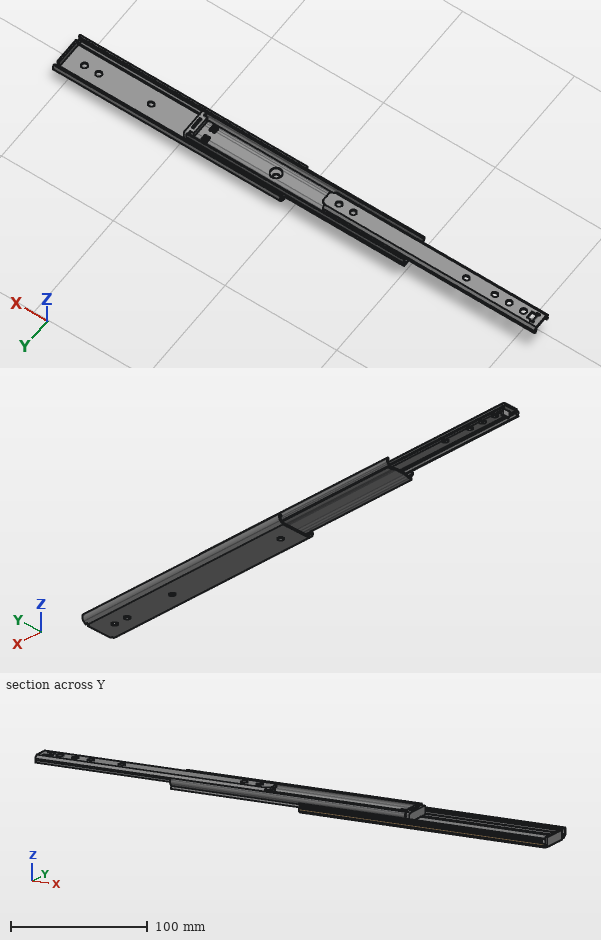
import cadquery as cq
import math


total_length = 424.7
inner_end = 192.5
middle_start = 114.0
middle_end = 308.2
outer_start = 221.5

outer_half_width = 17.65
total_height = 13.0

outer_sheet = 1.6
middle_sheet = 1.4
inner_sheet = 1.8
retainer_sheet = 0.4

hole_pitch = 12.8
hole_diameter = 5.2
slot_length = 5.2
slot_width = 4.4
first_inner_hole = 15.9
last_inner_hole = inner_end - 11.5
inner_slots = [first_inner_hole + 2 * hole_pitch, first_inner_hole + 4 * hole_pitch]
inner_round_holes = [
    first_inner_hole,
    first_inner_hole + hole_pitch,
    last_inner_hole - hole_pitch,
    last_inner_hole,
]
access_hole_x = 237.3
access_hole_diameter = 9.5
last_outer_hole = total_length - 15.9
outer_round_holes = [access_hole_x, last_outer_hole - hole_pitch, last_outer_hole]
outer_slots = [349.2]


def box(x0, x1, y0, y1, z0, z1):
    """Box given by its limits along each axis."""
    return cq.Workplane("XY").box(x1 - x0, y1 - y0, z1 - z0, centered=False).translate((x0, y0, z0))


def offset_path(path, distance):
    """Points of a bent line moved sideways by distance to its left, with sharp corners."""
    steps = [(b[0] - a[0], b[1] - a[1]) for a, b in zip(path, path[1:])]
    normals = [(-dz / math.hypot(dy, dz), dy / math.hypot(dy, dz)) for dy, dz in steps]
    moved = []
    for (y, z), before, after in zip(path, normals[:1] + normals, normals + normals[-1:]):
        reach = distance / (1 + before[0] * after[0] + before[1] * after[1])
        moved.append((y + reach * (before[0] + after[0]), z + reach * (before[1] + after[1])))
    return moved


def bent_sheet(path, thickness, x0, x1):
    """Sheet along X whose section follows the (Y, Z) centreline path."""
    upper = offset_path(path, thickness / 2)
    lower = offset_path(path, -thickness / 2)
    outline = cq.Workplane("YZ").polyline(upper + lower[::-1]).close()
    return outline.extrude(x1 - x0).translate((x0, 0, 0))


def symmetric_sheet(half_path, thickness, x0, x1):
    """Bent sheet symmetric about Y = 0; half_path runs outward on the +Y side."""
    mirrored = [(-y, z) for y, z in reversed(half_path)]
    return bent_sheet(mirrored + half_path, thickness, x0, x1)


def through_holes(x_places, diameter):
    """Vertical cylinders on the centreline of the slide."""
    points = [(x, 0) for x in x_places]
    return cq.Workplane("XY").pushPoints(points).circle(diameter / 2).extrude(total_height)


def through_slots(x_places):
    """Vertical slots on the centreline, elongated along X."""
    points = [(x, 0) for x in x_places]
    return cq.Workplane("XY").pushPoints(points).slot2D(slot_length, slot_width).extrude(total_height)


web_half_width = 13.5
inner_web_edge = 12.6
race_height = 5.3
race_radius = 4.45
race_lower_angle = -42
outer_lip_angle = 40
inner_lip_angle = 50
tab_half_width = 11.8
tab_height = 7.5
corner_notch = 1.6
notch_outer_y = web_half_width + 0.6


def make_outer_rail():
    race_y = outer_half_width - race_radius
    inner_radius = race_radius - outer_sheet

    def race_point(angle, radius, side):
        turn = math.radians(angle)
        return side * (race_y + radius * math.cos(turn)), race_height + radius * math.sin(turn)

    section = (
        cq.Workplane("YZ")
        .moveTo(-web_half_width, 0)
        .lineTo(web_half_width, 0)
        .lineTo(*race_point(race_lower_angle, race_radius, 1))
        .threePointArc(race_point(0, race_radius, 1), race_point(outer_lip_angle, race_radius, 1))
        .lineTo(*race_point(inner_lip_angle, inner_radius, 1))
        .threePointArc(race_point(0, inner_radius, 1), race_point(race_lower_angle, inner_radius, 1))
        .lineTo(inner_web_edge, outer_sheet)
        .lineTo(-inner_web_edge, outer_sheet)
        .lineTo(*race_point(race_lower_angle, inner_radius, -1))
        .threePointArc(race_point(0, inner_radius, -1), race_point(inner_lip_angle, inner_radius, -1))
        .lineTo(*race_point(outer_lip_angle, race_radius, -1))
        .threePointArc(race_point(0, race_radius, -1), race_point(race_lower_angle, race_radius, -1))
        .close()
    )
    rail = section.extrude(total_length - outer_start).translate((outer_start, 0, 0))

    notch_start = total_length - corner_notch
    for side in (-1, 1):
        y_limits = sorted((side * tab_half_width, side * notch_outer_y))
        rail = rail.cut(box(notch_start, total_length, *y_limits, 0, race_height))
    tab = box(total_length - outer_sheet, total_length, -tab_half_width, tab_half_width, 0, tab_height)
    rail = rail.union(tab)
    return rail.cut(through_holes(outer_round_holes, hole_diameter)).cut(through_slots(outer_slots))


middle_web_z = 5.5
middle_path = [
    (4.4, middle_web_z),
    (6.9, 4.8),
    (8.9, 4.2),
    (11.3, 4.2),
    (10.6, 5.6),
    (12.1, 7.2),
    (13.2, 9.3),
    (12.0, 11.6),
]
bulge_radius = 3.0
bulge_y = (12.3, 14.5)
bulge_z = (8.8, 9.8)
stop_lug_x = 294.4
stop_lug_length = 4.6
stop_lug_inner_y = 2.7
stop_lug_outer_y = 7.6
stop_lug_top = 7.2
stop_lug_root = 0.9
stop_lug_groove = 1.2


def make_intermediate_rail():
    rail = symmetric_sheet(middle_path, middle_sheet, middle_start, middle_end)
    for side in (-1, 1):
        near, far = sorted(side * y for y in bulge_y)
        bulge = cq.selectors.BoxSelector(
            (middle_start, near, bulge_z[0]), (middle_end, far, bulge_z[1])
        )
        rail = rail.edges("|X").edges(bulge).fillet(bulge_radius)
    lug_end = stop_lug_x + stop_lug_length
    lug_middle = stop_lug_x + stop_lug_length / 2
    web_top = middle_web_z + middle_sheet / 2
    groove_half = stop_lug_groove / 2
    for side in (-1, 1):
        lug_y = side * (stop_lug_inner_y + stop_lug_outer_y) / 2
        y_limits = sorted((side * stop_lug_inner_y, side * stop_lug_outer_y))
        lug = box(stop_lug_x, lug_end, *y_limits, middle_web_z - stop_lug_root, stop_lug_top)
        cross_groove = box(
            lug_middle - groove_half, lug_middle + groove_half, *y_limits, web_top, stop_lug_top
        )
        long_groove = box(
            stop_lug_x, lug_end, lug_y - groove_half, lug_y + groove_half, web_top, stop_lug_top
        )
        rail = rail.union(lug.cut(cross_groove).cut(long_groove))
    return rail.cut(through_holes([access_hole_x], access_hole_diameter))


inner_web_half_width = 6.1
inner_web_z = total_height - inner_sheet / 2
inner_path = [
    (inner_web_half_width, inner_web_z),
    (7.7, 10.5),
    (7.0, 9.2),
    (7.7, 7.2),
]
window_start = 4.2
window_end = 10.6
window_half_width = 3.2
window_tab_bottom = 6.0
window_tab_bend = 1.44
relief_end = 7.0
relief_half_width = 4.4
end_bevel = 3.0


def make_inner_rail():
    rail = symmetric_sheet(inner_path, inner_sheet, 0, inner_end)
    web_bottom = total_height - inner_sheet
    window = box(window_start, window_end, -window_half_width, window_half_width, web_bottom, total_height)
    relief = box(window_start, relief_end, -relief_half_width, relief_half_width, web_bottom, total_height)
    tab = box(
        window_start,
        window_start + inner_sheet,
        -window_half_width,
        window_half_width,
        window_tab_bottom,
        total_height,
    ).edges("|Y and >Z and >X").fillet(window_tab_bend)
    rail = rail.cut(window).cut(relief).union(tab)
    for side in (-1, 1):
        bevel = (
            cq.Workplane("XY")
            .polyline(
                [
                    (inner_end, side * (inner_web_half_width - end_bevel / 2)),
                    (inner_end, side * outer_half_width),
                    (inner_end - end_bevel, side * outer_half_width),
                    (inner_end - end_bevel, side * inner_web_half_width),
                ]
            )
            .close()
            .extrude(total_height)
        )
        rail = rail.cut(bevel)
    return rail.cut(through_holes(inner_round_holes, hole_diameter)).cut(through_slots(inner_slots))


retainer_start = outer_start + 0.6
retainer_end = total_length - 2.2
retainer_path = [(12.3, 2.1), (13.2, 2.3), (15.1, 3.9), (15.7, 5.5), (15.2, 6.9), (14.2, 6.9)]


def make_retainer(side):
    path = [(side * y, z) for y, z in retainer_path]
    return bent_sheet(path, retainer_sheet, retainer_start, retainer_end)


stop_block_start = 304.8
stop_block_half_width = 8.6
stop_flange_end = 311.3
stop_flange_half_width = 12.4
stop_flange_bottom = 4.0
stop_top = 11.0
stop_edge_radius = 1.2
stop_slot_half_width = 5.0
stop_slot_start = 307.4
stop_slot_end = 309.2
stop_slot_floor = 2.0


def make_stop():
    web_top = middle_web_z + middle_sheet / 2
    block = box(
        stop_block_start, middle_end, -stop_block_half_width, stop_block_half_width, web_top, stop_top
    )
    flange = (
        box(
            middle_end,
            stop_flange_end,
            -stop_flange_half_width,
            stop_flange_half_width,
            stop_flange_bottom,
            stop_top,
        )
        .edges("|X and >Z")
        .fillet(stop_edge_radius)
    )
    slot = box(
        stop_slot_start,
        stop_slot_end,
        -stop_slot_half_width,
        stop_slot_half_width,
        web_top + stop_slot_floor,
        stop_top,
    )
    return block.union(flange).cut(slot)


outer_rail = make_outer_rail()
intermediate_rail = make_intermediate_rail()
inner_rail = make_inner_rail()
retainers = [make_retainer(side) for side in (-1, 1)]
stop = make_stop()

result = cq.Compound.makeCompound(
    [
        outer_rail.val(),
        intermediate_rail.val(),
        inner_rail.val(),
        *[retainer.val() for retainer in retainers],
        stop.val(),
    ]
)